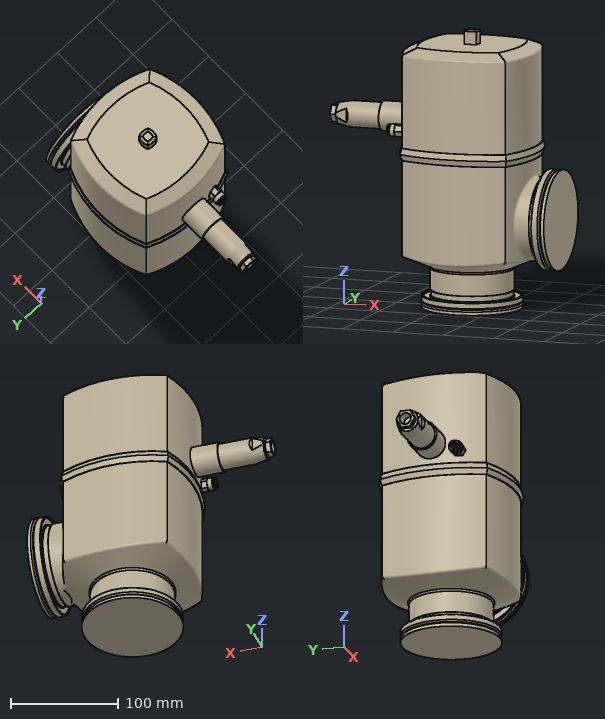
import cadquery as cq
import math

TOTAL_HEIGHT = 263.5

BODY_HALF = 62.2
BODY_SIDE_RADIUS = 123.0
BODY_TOP = 250.0
BODY_BOTTOM = 39.5
SHOULDER_SLOPE = 22.6
SHOULDER_WIDTH = 14.2
EDGE_ROUND = 3.0

BEAD_CENTER_Z = 150.0
BEAD_HALF_HEIGHT = 5.8
BEAD_WIDTH = 128.9
BEAD_FOOT_HALF = 62.7

PIN_HALF = 7.0
PIN_SIDE_RADIUS = 15.8
PIN_TIP_HALF = 4.0

PIPE_RADIUS = 39.5
PIPE_END_RADIUS = 38.7
PIPE_END_LENGTH = 5.3
FLANGE_DIAMETER = 95.0
GROOVE_DEPTH = 1.5
GROOVE_HALF_WIDTH = 1.5
GROOVE_CENTER = 5.0
RECESS_RADIUS = 45.8
RECESS_DEPTH = 1.0
WELD_SIZE = 1.0

BOTTOM_FLANGE_THICKNESS = 11.5
BOTTOM_FLARE_HEIGHT = 2.0
BOTTOM_FLARE_WIDTH = 1.0
SIDE_FLANGE_THICKNESS = 12.6
SIDE_PORT_REACH = 88.0
SIDE_PORT_Z = 87.5
SIDE_PORT_FILLET = 2.5

SENSOR_Z = 176.0
SENSOR_TIP = -138.0
SENSOR_NUT_END = -132.8
SENSOR_CAP_START = -131.8
SENSOR_BARREL_START = -119.4
SENSOR_COLLAR_START = -88.0
SENSOR_NUT_FLATS = 15.8
SENSOR_NECK_RADIUS = 7.5
SENSOR_CAP_TIP_DIAMETER = 20.8
SENSOR_BARREL_RADIUS = 12.6
SENSOR_COLLAR_DIAMETER = 28.7
SENSOR_FLAT_END = -121.2
SENSOR_BORE_RADIUS = 5.5
SENSOR_BORE_DEPTH = 13.2

FITTING_Y = -27.0
FITTING_Z = 167.8
FITTING_TIP = -73.5
FITTING_DISC_END = -72.2
FITTING_RING_START = -71.0
FITTING_RING_END = -66.0
FITTING_DISC_RADIUS = 5.3
FITTING_NECK_RADIUS = 4.2
FITTING_RING_RADIUS = 6.0
FITTING_HEX_FLATS = 10.8
FITTING_BORE_RADIUS = 3.2
FITTING_BORE_DEPTH = 2.0
FITTING_PILOT_RADIUS = 1.5
FITTING_PILOT_DEPTH = 6.5

OVERLAP = 2.6
SELECT_MARGIN = 0.3

FLANGE_RADIUS = FLANGE_DIAMETER / 2
SENSOR_CAP_TIP_RADIUS = SENSOR_CAP_TIP_DIAMETER / 2
SENSOR_COLLAR_RADIUS = SENSOR_COLLAR_DIAMETER / 2
SLOPE = math.tan(math.radians(SHOULDER_SLOPE))
INSIDE_BODY_X = -(BODY_HALF - SHOULDER_WIDTH)


def bulged_block(side_radius, half_width, outline, round_radius=0, round_z=0):
    """Four-sided prism with bulged sides.

    outline lists (half width, z) from bottom to top. Each side is that outline
    turned about its own vertical axis; the block is what the four sides enclose.
    Circular edges at height round_z are rounded.
    """
    axis_offset = side_radius - half_width
    turned = [(half + axis_offset, z) for half, z in outline]
    points = [(0, turned[0][1])] + turned + [(0, turned[-1][1])]
    side = cq.Workplane("XZ").polyline(points).close().revolve(360, (0, 0), (0, 1))
    if round_radius:
        reach = 2 * side_radius
        near_edge = cq.selectors.BoxSelector(
            (-reach, -reach, round_z - SELECT_MARGIN),
            (reach, reach, round_z + SELECT_MARGIN),
            boundingbox=True,
        )
        side = side.edges(near_edge).fillet(round_radius)
    side = side.translate((-axis_offset, 0, 0))
    block = side
    for angle in (90, 180, 270):
        block = block.intersect(side.rotate((0, 0, 0), (0, 0, 1), angle))
    return block


def turned_part(outline):
    """Solid of revolution about Z from (radius, z) points, closed along the axis."""
    points = [(0, outline[0][1])] + outline + [(0, outline[-1][1])]
    return cq.Workplane("XZ").polyline(points).close().revolve(360, (0, 0), (0, 1))


def along_x(part, y, z):
    """Turn a part made along +Z so that it runs along +X at the given y and z."""
    return part.rotate((0, 0, 0), (0, 1, 0), 90).translate((0, y, z))


def hex_bar(flats, start, end):
    """Hexagonal bar along Z whose corners point along Y."""
    corner_diameter = flats / math.cos(math.pi / 6)
    bar = cq.Workplane("XY").workplane(offset=start).polygon(6, corner_diameter).extrude(end - start)
    return bar.rotate((0, 0, 0), (0, 0, 1), 90)


def rod(radius, start, end):
    return cq.Workplane("XY").workplane(offset=start).circle(radius).extrude(end - start)


def flange_and_pipe_outline(thickness):
    """Outline from the flange face (z = 0) up to the full pipe radius."""
    recess_floor = thickness - RECESS_DEPTH
    return [
        (FLANGE_RADIUS, 0),
        (FLANGE_RADIUS, GROOVE_CENTER - GROOVE_HALF_WIDTH),
        (FLANGE_RADIUS - GROOVE_DEPTH, GROOVE_CENTER),
        (FLANGE_RADIUS, GROOVE_CENTER + GROOVE_HALF_WIDTH),
        (FLANGE_RADIUS, thickness),
        (RECESS_RADIUS, thickness),
        (RECESS_RADIUS, recess_floor),
        (PIPE_END_RADIUS + WELD_SIZE, recess_floor),
        (PIPE_END_RADIUS, recess_floor + WELD_SIZE),
        (PIPE_END_RADIUS, thickness + PIPE_END_LENGTH),
        (PIPE_RADIUS, thickness + PIPE_END_LENGTH),
    ]


def make_body():
    shoulder_z = BODY_TOP - SHOULDER_WIDTH * SLOPE
    bead_bottom = BEAD_CENTER_Z - BEAD_HALF_HEIGHT
    bead_top = BEAD_CENTER_Z + BEAD_HALF_HEIGHT
    outline = [
        (BODY_HALF, BODY_BOTTOM),
        (BODY_HALF, bead_bottom),
        (BEAD_FOOT_HALF, bead_bottom),
        (BEAD_WIDTH / 2, BEAD_CENTER_Z),
        (BEAD_FOOT_HALF, bead_top),
        (BODY_HALF, bead_top),
        (BODY_HALF, shoulder_z),
        (BODY_HALF - SHOULDER_WIDTH, BODY_TOP),
    ]
    body = bulged_block(BODY_SIDE_RADIUS, BODY_HALF, outline, EDGE_ROUND, shoulder_z)

    pipe_end = SIDE_PORT_REACH - SIDE_FLANGE_THICKNESS - PIPE_END_LENGTH
    pipe = along_x(rod(PIPE_RADIUS, 0, pipe_end), 0, SIDE_PORT_Z)
    body = body.union(pipe)
    seam_reach = PIPE_RADIUS + OVERLAP
    seam = cq.selectors.BoxSelector(
        (-INSIDE_BODY_X, -seam_reach, SIDE_PORT_Z - seam_reach),
        (BODY_HALF + SELECT_MARGIN, seam_reach, SIDE_PORT_Z + seam_reach),
        boundingbox=True,
    )
    body = body.edges(seam).fillet(SIDE_PORT_FILLET)

    cone_start = PIPE_RADIUS + BOTTOM_FLARE_WIDTH
    cone_reach = 2 * BODY_HALF
    envelope = turned_part([
        (cone_start, BODY_BOTTOM),
        (cone_reach, BODY_BOTTOM + (cone_reach - cone_start) * SLOPE),
        (cone_reach, BODY_TOP),
    ])
    body = body.intersect(envelope)
    rim_reach = BODY_HALF + OVERLAP
    rim = cq.selectors.BoxSelector(
        (-rim_reach, -rim_reach, BODY_BOTTOM + OVERLAP),
        (rim_reach, rim_reach, SIDE_PORT_Z - PIPE_RADIUS / 2),
        boundingbox=True,
    )
    return body.edges(rim).fillet(EDGE_ROUND)


def make_bottom_port():
    outline = flange_and_pipe_outline(BOTTOM_FLANGE_THICKNESS) + [
        (PIPE_RADIUS, BODY_BOTTOM - BOTTOM_FLARE_HEIGHT),
        (PIPE_RADIUS + BOTTOM_FLARE_WIDTH, BODY_BOTTOM),
        (PIPE_RADIUS, BODY_BOTTOM + OVERLAP),
    ]
    return turned_part(outline)


def make_side_port():
    outline = flange_and_pipe_outline(SIDE_FLANGE_THICKNESS) + [(PIPE_RADIUS, SIDE_PORT_REACH)]
    port = turned_part(outline).rotate((0, 0, 0), (0, 1, 0), -90)
    return port.translate((SIDE_PORT_REACH, 0, SIDE_PORT_Z))


def make_pin():
    tip_z = TOTAL_HEIGHT - (PIN_HALF - PIN_TIP_HALF) * SLOPE
    outline = [(PIN_HALF, BODY_TOP - OVERLAP), (PIN_HALF, tip_z), (PIN_TIP_HALF, TOTAL_HEIGHT)]
    return bulged_block(PIN_SIDE_RADIUS, PIN_HALF, outline)


def make_sensor():
    sensor = turned_part([
        (SENSOR_NECK_RADIUS, SENSOR_NUT_END),
        (SENSOR_NECK_RADIUS, SENSOR_CAP_START),
        (SENSOR_CAP_TIP_RADIUS, SENSOR_CAP_START),
        (SENSOR_BARREL_RADIUS, SENSOR_BARREL_START),
        (SENSOR_BARREL_RADIUS, SENSOR_COLLAR_START),
        (SENSOR_COLLAR_RADIUS, SENSOR_COLLAR_START),
        (SENSOR_COLLAR_RADIUS, INSIDE_BODY_X),
    ])
    ramp = SENSOR_BARREL_RADIUS - SENSOR_CAP_TIP_RADIUS
    flat = (
        cq.Workplane("YZ")
        .polyline([
            (SENSOR_CAP_TIP_RADIUS, SENSOR_CAP_START),
            (SENSOR_CAP_TIP_RADIUS, SENSOR_FLAT_END),
            (SENSOR_BARREL_RADIUS, SENSOR_FLAT_END + ramp),
            (SENSOR_BARREL_RADIUS, SENSOR_CAP_START),
        ])
        .close()
        .extrude(SENSOR_BARREL_RADIUS, both=True)
    )
    sensor = sensor.cut(flat).cut(flat.mirror("XZ"))
    sensor = sensor.union(hex_bar(SENSOR_NUT_FLATS, SENSOR_TIP, SENSOR_NUT_END))
    sensor = sensor.cut(rod(SENSOR_BORE_RADIUS, SENSOR_TIP, SENSOR_TIP + SENSOR_BORE_DEPTH))
    return along_x(sensor, 0, SENSOR_Z)


def make_fitting():
    fitting = turned_part([
        (FITTING_DISC_RADIUS, FITTING_TIP),
        (FITTING_DISC_RADIUS, FITTING_DISC_END),
        (FITTING_NECK_RADIUS, FITTING_DISC_END),
        (FITTING_NECK_RADIUS, FITTING_RING_START),
        (FITTING_RING_RADIUS, FITTING_RING_START),
        (FITTING_RING_RADIUS, FITTING_RING_END),
    ])
    fitting = fitting.union(hex_bar(FITTING_HEX_FLATS, FITTING_RING_END, INSIDE_BODY_X))
    fitting = fitting.cut(rod(FITTING_BORE_RADIUS, FITTING_TIP, FITTING_TIP + FITTING_BORE_DEPTH))
    fitting = fitting.cut(rod(FITTING_PILOT_RADIUS, FITTING_TIP, FITTING_TIP + FITTING_PILOT_DEPTH))
    return along_x(fitting, FITTING_Y, FITTING_Z)


result = make_body()
for part in (make_bottom_port(), make_side_port(), make_pin(), make_sensor(), make_fitting()):
    result = result.union(part)